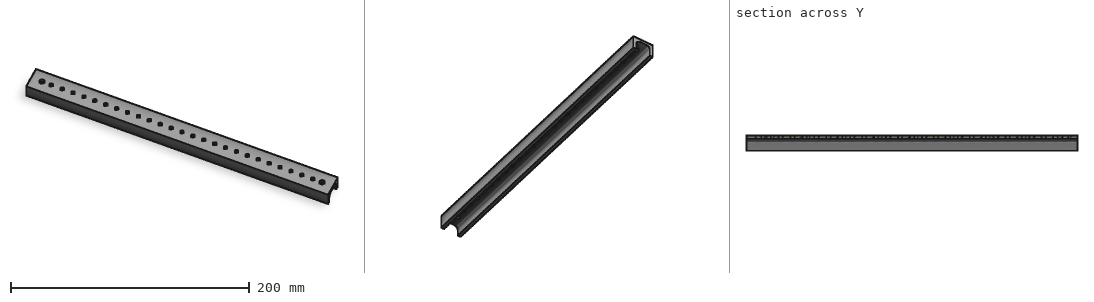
import cadquery as cq

LENGTH = 277.0
WIDTH = 20.0
HEIGHT = 13.0

WALL = 3.0
INNER_RADIUS = 4.0

SMALL_HOLE_DIAMETER = 3.2
SMALL_HOLE_COUNT = 25
SMALL_HOLE_PITCH = 10.0

END_HOLE_DIAMETER = 4.5
END_HOLE_INSET = 10.0


def make_channel():
    """U channel along X, with its web on top and its legs standing on Z = 0."""
    body = cq.Workplane("XY").box(LENGTH, WIDTH, HEIGHT, centered=(True, True, False))
    cavity = (
        cq.Workplane("XY")
        .box(LENGTH, WIDTH - 2 * WALL, HEIGHT - WALL, centered=(True, True, False))
        .edges("|X and >Z")
        .fillet(INNER_RADIUS)
    )
    return body.cut(cavity)


def make_drills(x_positions, diameter):
    """Vertical cylinders on the centre line, tall enough to pass through the web."""
    points = [(x, 0) for x in x_positions]
    return cq.Workplane("XY").pushPoints(points).circle(diameter / 2).extrude(HEIGHT)


first_small_x = -SMALL_HOLE_PITCH * (SMALL_HOLE_COUNT - 1) / 2
small_hole_xs = [first_small_x + i * SMALL_HOLE_PITCH for i in range(SMALL_HOLE_COUNT)]

end_hole_x = LENGTH / 2 - END_HOLE_INSET
end_hole_xs = [-end_hole_x, end_hole_x]

result = (
    make_channel()
    .cut(make_drills(small_hole_xs, SMALL_HOLE_DIAMETER))
    .cut(make_drills(end_hole_xs, END_HOLE_DIAMETER))
)